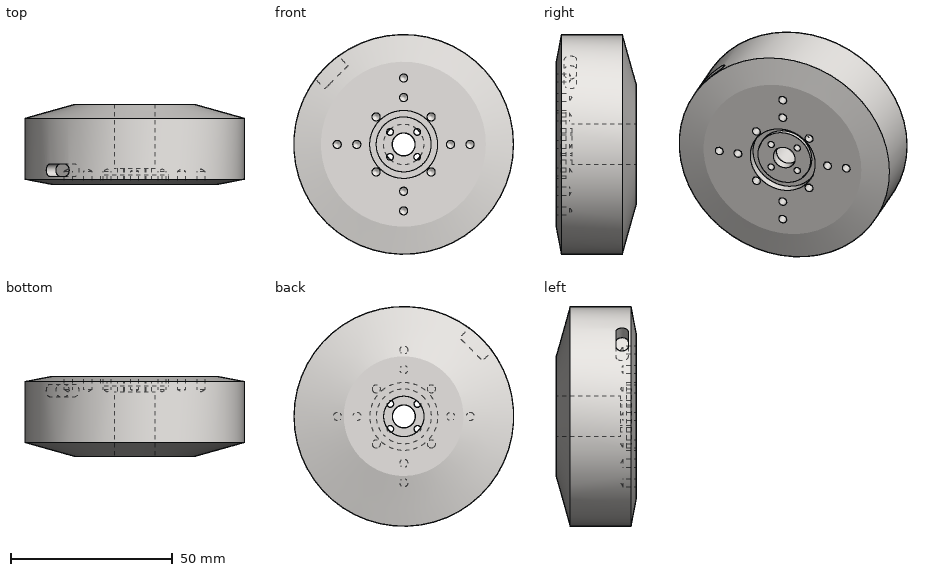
import cadquery as cq
import math

outer_diameter = 68.0
thickness = 24.8
front_face_diameter = 51.0
back_face_diameter = 37.0
front_cone_depth = 1.6
back_cone_depth = 4.35
front_y = -thickness / 2
back_y = thickness / 2

recess_diameter = 21.0
recess_depth = 3.0
hub_diameter = 17.0
hub_top_depth = 1.55

bore_diameter = 7.0
bore_length = 3.3
back_bore_diameter = 12.5
back_bore_start_y = front_y + hub_top_depth + bore_length

hub_hole_diameter = 2.05
hub_hole_spacing_x = 8.4
hub_hole_spacing_z = 7.75

mount_hole_diameter = 2.5
mount_hole_depth = 4.1
drill_point_angle = 118.0
inner_cross_radius = 14.5
outer_cross_radius = 20.55
diagonal_radius = 12.05

slot_length = 10.05
slot_width = 3.9
slot_floor_radius = 29.4
slot_from_front = 4.4
slot_angle = 45.0


def plane_at(y):
    """Plane normal to the disc axis, with local x along +X and local y along +Z."""
    return cq.Plane(origin=(0, y, 0), xDir=(1, 0, 0), normal=(0, -1, 0))


def cylinder(diameter, start_y, end_y):
    """Cylinder on the disc axis from start_y back to end_y."""
    return cq.Workplane(plane_at(start_y)).circle(diameter / 2).extrude(start_y - end_y)


def make_body():
    """Solid disc with a shallow cone at the front and a deeper one at the back."""
    profile = [
        (0, front_y),
        (front_face_diameter / 2, front_y),
        (outer_diameter / 2, front_y + front_cone_depth),
        (outer_diameter / 2, back_y - back_cone_depth),
        (back_face_diameter / 2, back_y),
        (0, back_y),
    ]
    return cq.Workplane("XY").polyline(profile).close().revolve(360, (0, 0, 0), (0, 1, 0))


def ring_points(radius, start_angle):
    """Four points evenly spaced on a circle."""
    angles = [math.radians(start_angle + 90 * index) for index in range(4)]
    return [(radius * math.cos(angle), radius * math.sin(angle)) for angle in angles]


def make_mount_hole(x, z):
    """Drilled blind hole whose straight part is mount_hole_depth deep."""
    radius = mount_hole_diameter / 2
    tip_length = radius / math.tan(math.radians(drill_point_angle / 2))
    tip_y = front_y + mount_hole_depth + tip_length
    profile = [
        (0, front_y),
        (radius, front_y),
        (radius, front_y + mount_hole_depth),
        (0, tip_y),
    ]
    drill = cq.Workplane("XY").polyline(profile).close().revolve(360, (0, 0, 0), (0, 1, 0))
    return drill.translate((x, 0, z))


def make_hub_holes():
    """Four holes from the hub top, on a rectangle around the bore."""
    return (
        cq.Workplane(plane_at(front_y + hub_top_depth))
        .rect(hub_hole_spacing_x, hub_hole_spacing_z, forConstruction=True)
        .vertices()
        .circle(hub_hole_diameter / 2)
        .extrude(-bore_length)
    )


def make_slot():
    """Round-ended slot cut radially inwards to a flat floor."""
    angle = math.radians(slot_angle)
    outward = (-math.cos(angle), 0, math.sin(angle))
    along = (math.sin(angle), 0, math.cos(angle))
    floor_centre = (
        slot_floor_radius * outward[0],
        front_y + slot_from_front,
        slot_floor_radius * outward[2],
    )
    floor_plane = cq.Plane(origin=floor_centre, xDir=along, normal=outward)
    cut_height = outer_diameter / 2 - slot_floor_radius
    return cq.Workplane(floor_plane).slot2D(slot_length, slot_width).extrude(cut_height)


result = make_body()
result = result.cut(cylinder(recess_diameter, front_y, front_y + recess_depth))
result = result.union(cylinder(hub_diameter, front_y + hub_top_depth, front_y + recess_depth))
result = result.cut(cylinder(bore_diameter, front_y, back_y))
result = result.cut(cylinder(back_bore_diameter, back_bore_start_y, back_y))
result = result.cut(make_hub_holes())

mount_points = (
    ring_points(inner_cross_radius, 0)
    + ring_points(outer_cross_radius, 0)
    + ring_points(diagonal_radius, 45)
)
for hole_x, hole_z in mount_points:
    result = result.cut(make_mount_hole(hole_x, hole_z))

result = result.cut(make_slot())